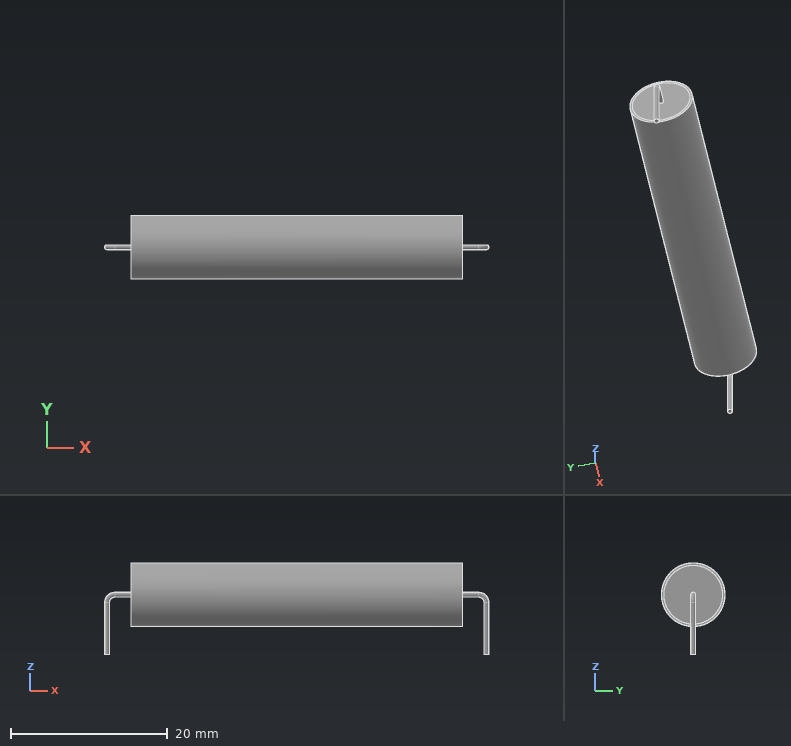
import cadquery as cq

overall_length = 48.95
body_length = 42.3
sleeve_diameter = 8.1
core_diameter = 7.5
wire_diameter = 0.65
bend_radius = 1.0
lead_tip_z = -7.65

body_end_x = body_length / 2
lead_leg_x = (overall_length - wire_diameter) / 2


def make_core():
    """Solid cylinder that fills the sleeve from end to end."""
    return cq.Workplane("YZ", origin=(-body_end_x, 0, 0)).circle(core_diameter / 2).extrude(body_length)


def make_sleeve():
    """Thin tube around the core, flush with both of its ends."""
    return (
        cq.Workplane("YZ", origin=(-body_end_x, 0, 0))
        .circle(sleeve_diameter / 2)
        .circle(core_diameter / 2)
        .extrude(body_length)
    )


def make_lead(side):
    """Round wire from the core's end face, bent down; side is -1 or +1 along X."""
    path = (
        cq.Workplane("XZ")
        .moveTo(side * body_end_x, 0)
        .lineTo(side * (lead_leg_x - bend_radius), 0)
        .tangentArcPoint((side * lead_leg_x, -bend_radius), relative=False)
        .lineTo(side * lead_leg_x, lead_tip_z)
    )
    return cq.Workplane("YZ", origin=(side * body_end_x, 0, 0)).circle(wire_diameter / 2).sweep(path)


core = make_core()
sleeve = make_sleeve()
leads = [make_lead(side) for side in (-1, 1)]

result = cq.Compound.makeCompound([core.val(), sleeve.val(), *[lead.val() for lead in leads]])